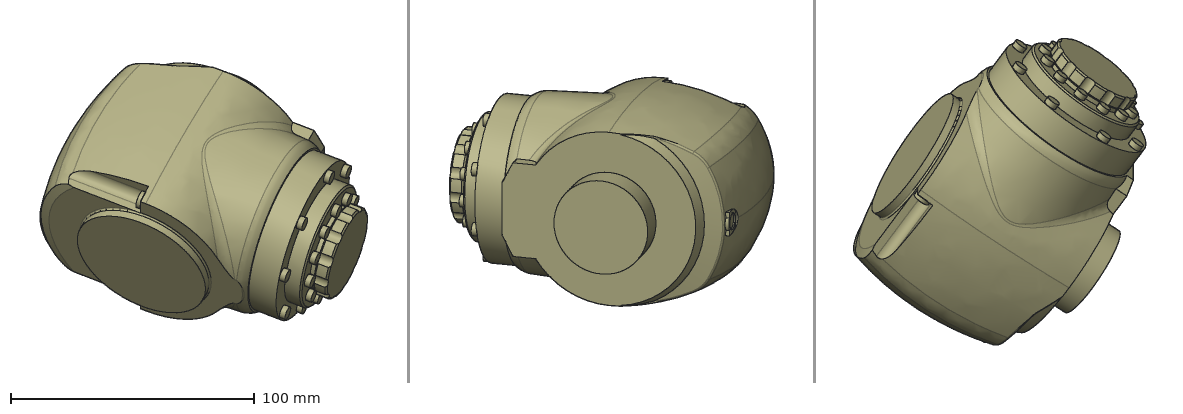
import cadquery as cq
import math

FRONT_Y = -37.0
REAR_Y = 37.5
BELLY_Y = -2.5
BARREL_R = 40.5
BARREL_END_R = 37.5
NOSE_X = 52.4
NOSE_FRONT_SCALE = 0.916
NOSE_REAR_SCALE = 0.867
SHOULDER = (-38.0, 32.0)
CHEEK = (-45.2, 25.5)
FACE_R = 43.9
FACE_DROP = 1.0

NECK_ROOT_R = 39.7
NECK_R = 37.8
NECK_SHOULDER_X = 41.2
NECK_ROUNDING_MIDDLE = (44.0, 37.1)
NECK_END_X = 45.9
NECK_END_R = 35.9
NECK_BLEND_R = 5.0

TONGUE_HALF_H = 20.2
TONGUE_TIP_HALF_H = 11.4
TONGUE_FLOOR_Y = 31.4

RELIEF_BEND_START = (-30.4, 30.9)
RELIEF_BEND = (-17.7, 32.9)
RELIEF_RUNOUT = (-5.0, REAR_Y)
REAR_BOSS_R = 37.2
REAR_BOSS_ROOT_R = 39.5
REAR_BOSS_ROOT_Y = 32.8
RELIEF_SLOPE_R = 47.5
RELIEF_SLOPE_Y = 31.1
RELIEF_RIM_FILLET = 1.0
RIM_LOW_Y = 30.4
RIM_HIGH_Y = 32.6

CAP_R = 29.1
CAP_END_Y = -41.0
CAP_FILLET = 0.8
STUB_R = 20.1
STUB_END_Y = 49.0

CHANNEL_R = 4.3
CHANNEL_Y = -33.5
CHANNEL_Z = 33.8
CHANNEL_END_X = -2.4
CHANNEL_LENGTH = 56.9
CHANNEL_OPENING = 12.6
SCREW_R = 3.7
SCREW_LENGTH = 1.9

PAD_R = 5.0
PAD_Y = 25.3
PAD_END_Y = 29.6
PAD_X = -49.2
PAD_ROOT_X = -44.3
PAD_HOLE_R = 3.5
PAD_HOLE_DEPTH = 0.6

FLANGE_R = 35.0
FLANGE_END_X = 58.3
FLANGE_BOLT_CIRCLE_R = 31.9
FLANGE_BOLT_R = 2.8
FLANGE_BOLT_H = 2.5
FLANGE_BOLT_ANGLE = 24.0

DISC_R = 27.0
DISC_END_X = 65.9
DISC_CHAMFER = 0.8
OUTPUT_BOLT_COUNT = 12
OUTPUT_BOLT_CIRCLE_R = 21.8
OUTPUT_BOLT_ANGLE = 10.0
OUTPUT_BOLT_R = 2.7
OUTPUT_BOLT_H = 2.5
HUB_R = 20.0
HUB_NECK_R = 19.0
HUB_NECK_END_X = 67.9
HUB_END_X = 74.1
HUB_CHAMFER = 0.8
SCALLOP_R = 3.0

BIG = 126.5
MARGIN = 0.1


def plane_at_y(y):
    """XZ workplane at the given y, with its normal toward -Y."""
    return cq.Workplane("XZ").workplane(offset=-y)


def rod_y(radius, y_low, y_high):
    return plane_at_y(y_high).circle(radius).extrude(y_high - y_low)


def rod_x(radius, x_start, x_end, y=0.0, z=0.0):
    return cq.Workplane("YZ", origin=(x_start, 0, 0)).center(y, z).circle(radius).extrude(x_end - x_start)


def box_zone(x_range, y_range, z_range):
    """Selector for edges that lie wholly inside a box."""
    low, high = zip(x_range, y_range, z_range)
    return cq.selectors.BoxSelector(low, high, boundingbox=True)


def ring_points(radius, angles):
    """(y, z) places on a circle about X, angles in degrees from -Y toward +Z."""
    return [(-radius * math.cos(math.radians(a)), radius * math.sin(math.radians(a))) for a in angles]


def arc_to_axis_middle(start, axis_x):
    """Middle point of the arc, centred on the X axis, from start to (axis_x, 0)."""
    rise = start[1]
    run = start[0] - axis_x
    radius = (rise**2 + run**2) / (2 * run)
    half_angle = math.asin(rise / radius) / 2
    return (axis_x + radius * (1 - math.cos(half_angle)), radius * math.sin(half_angle))


def barrel_outline(y, radius, nose_scale):
    """Closed section of the barrel: half circle, shoulder, cheek and nose."""
    height_scale = radius / BARREL_R
    diagonal = radius * math.sqrt(0.5)
    shoulder = (SHOULDER[0] * nose_scale, SHOULDER[1] * height_scale)
    cheek = (CHEEK[0] * nose_scale, CHEEK[1] * height_scale)
    nose_x = -NOSE_X * nose_scale
    half = (
        plane_at_y(y)
        .moveTo(radius, 0)
        .threePointArc((diagonal, diagonal), (0, radius))
        .tangentArcPoint(shoulder, relative=False)
        .tangentArcPoint(cheek, relative=False)
        .threePointArc(arc_to_axis_middle(cheek, nose_x), (nose_x, 0))
    )
    return half.mirrorX().val()


def make_barrel():
    sections = [
        barrel_outline(FRONT_Y, BARREL_END_R, NOSE_FRONT_SCALE),
        barrel_outline(BELLY_Y, BARREL_R, 1.0),
        barrel_outline(REAR_Y, BARREL_END_R, NOSE_REAR_SCALE),
    ]
    return cq.Workplane(cq.Solid.makeLoft(sections))


def make_neck():
    neck = (
        cq.Workplane("XY")
        .lineTo(0, NECK_ROOT_R)
        .lineTo(NECK_SHOULDER_X, NECK_R)
        .threePointArc(NECK_ROUNDING_MIDDLE, (NECK_END_X, NECK_END_R))
        .lineTo(NECK_END_X, 0)
        .close()
        .revolve(360, (0, 0, 0), (1, 0, 0))
    )
    between_faces = plane_at_y(REAR_Y).rect(BIG, BIG).extrude(REAR_Y - FRONT_Y)
    return neck.intersect(between_faces)


def make_shell():
    """Barrel and neck, with the valley between them rounded."""
    barrel = make_barrel()
    shell = barrel.union(make_neck())
    depth = REAR_Y - FRONT_Y
    valley_zone = box_zone((MARGIN, NECK_SHOULDER_X - MARGIN), (-BIG, BIG), (-BIG, BIG))
    valleys = [edge for edge in shell.edges(valley_zone).vals() if edge.BoundingBox().ylen > depth - MARGIN]
    return cq.Workplane(shell.val().fillet(NECK_BLEND_R, valleys))


def make_tongue():
    upper = [(0, TONGUE_HALF_H), (NECK_SHOULDER_X, TONGUE_HALF_H), (NECK_END_X, TONGUE_TIP_HALF_H)]
    lower = [(x, -z) for x, z in reversed(upper)]
    return plane_at_y(REAR_Y).polyline(upper + lower).close().extrude(REAR_Y - TONGUE_FLOOR_Y)


def make_face_fall():
    """Cutter that lets the front face fall away outside its flat middle."""
    fall_end_r = -NOSE_X * NOSE_FRONT_SCALE
    return (
        cq.Workplane("XY")
        .polyline([(-FACE_R, FRONT_Y), (fall_end_r, FRONT_Y + FACE_DROP), (fall_end_r, FRONT_Y)])
        .close()
        .revolve(360, (0, 0, 0), (0, 1, 0))
    )


def make_rear_relief():
    """Cutter for the rear step, leaving a tapered round boss on a sloping floor."""
    slab_section = [(-BIG, RELIEF_BEND_START[1]), RELIEF_BEND_START, RELIEF_BEND, RELIEF_RUNOUT, (-BIG, REAR_Y)]
    slab = cq.Workplane("XY").polyline(slab_section).close().extrude(BIG, both=True)
    slope = (REAR_BOSS_ROOT_Y - RELIEF_SLOPE_Y) / (RELIEF_SLOPE_R - REAR_BOSS_ROOT_R)
    floor_r = RELIEF_SLOPE_R + (RELIEF_SLOPE_Y - FRONT_Y) / slope
    boss_section = [
        (0, FRONT_Y),
        (floor_r, FRONT_Y),
        (REAR_BOSS_ROOT_R, REAR_BOSS_ROOT_Y),
        (REAR_BOSS_R, REAR_Y),
        (0, REAR_Y),
    ]
    boss = cq.Workplane("XY").polyline(boss_section).close().revolve(360, (0, 0, 0), (0, 1, 0))
    return slab.cut(boss)


def make_screw_channel(side):
    """Round-bottomed channel along X, open toward -Y and away from the X axis."""
    start_x = CHANNEL_END_X - CHANNEL_LENGTH
    z = side * CHANNEL_Z
    bottom = rod_x(CHANNEL_R, start_x, CHANNEL_END_X, CHANNEL_Y, z)
    section = [
        (CHANNEL_Y - CHANNEL_OPENING, z - side * CHANNEL_R),
        (CHANNEL_Y, z - side * CHANNEL_R),
        (CHANNEL_Y, z),
        (CHANNEL_Y + CHANNEL_R, z),
        (CHANNEL_Y + CHANNEL_R, z + side * CHANNEL_OPENING),
        (CHANNEL_Y - CHANNEL_OPENING, z + side * CHANNEL_OPENING),
    ]
    mouth = cq.Workplane("YZ", origin=(start_x, 0, 0)).polyline(section).close().extrude(CHANNEL_LENGTH)
    return bottom.union(mouth)


def pad_prism(x_start, x_end):
    """Prism along X with the pad's outline: round toward -Y, straight sides toward +Y."""
    straight = PAD_END_Y - PAD_Y
    block = cq.Workplane("YZ", origin=(x_start, PAD_Y + straight / 2, 0)).rect(straight, 2 * PAD_R)
    return rod_x(PAD_R, x_start, x_end, PAD_Y).union(block.extrude(x_end - x_start))


def make_housing():
    housing = make_shell().union(make_tongue())
    housing = housing.cut(make_face_fall()).cut(make_rear_relief())

    rim_x = (-NOSE_X, RELIEF_BEND[0] - MARGIN)
    rim_zone = box_zone(rim_x, (RIM_LOW_Y, RIM_HIGH_Y), (-BARREL_R, BARREL_R))
    rim = [edge for edge in housing.edges(rim_zone).vals() if edge.geomType() == "BSPLINE"]
    housing = cq.Workplane(housing.val().fillet(RELIEF_RIM_FILLET, rim))

    housing = housing.union(rod_y(CAP_R, CAP_END_Y, 0)).union(rod_y(STUB_R, 0, STUB_END_Y))
    root_r = CAP_R + MARGIN
    cap_root = box_zone((-root_r, root_r), (FRONT_Y - MARGIN, FRONT_Y + MARGIN), (-root_r, root_r))
    housing = housing.edges(cap_root).fillet(CAP_FILLET)

    for side in (1, -1):
        head = rod_x(SCREW_R, CHANNEL_END_X - SCREW_LENGTH, CHANNEL_END_X, CHANNEL_Y, side * CHANNEL_Z)
        housing = housing.cut(make_screw_channel(side)).union(head)

    housing = housing.cut(pad_prism(-BIG, PAD_X)).union(pad_prism(PAD_X, PAD_ROOT_X))
    housing = housing.cut(rod_x(PAD_HOLE_R, PAD_X, PAD_X + PAD_HOLE_DEPTH, PAD_Y))

    housing = housing.union(rod_x(FLANGE_R, NECK_SHOULDER_X, FLANGE_END_X))
    angles = [q * 90 + a for q in range(4) for a in (FLANGE_BOLT_ANGLE, 90 - FLANGE_BOLT_ANGLE)]
    for y, z in ring_points(FLANGE_BOLT_CIRCLE_R, angles):
        housing = housing.union(rod_x(FLANGE_BOLT_R, FLANGE_END_X, FLANGE_END_X + FLANGE_BOLT_H, y, z))
    return housing


def make_output():
    disc = rod_x(DISC_R, FLANGE_END_X, DISC_END_X).faces(">X").chamfer(DISC_CHAMFER)
    hub = rod_x(HUB_R, HUB_NECK_END_X, HUB_END_X).faces(">X or <X").chamfer(HUB_CHAMFER)
    hub = hub.union(rod_x(HUB_NECK_R, DISC_END_X, HUB_END_X))

    step = 360 / OUTPUT_BOLT_COUNT
    places = ring_points(OUTPUT_BOLT_CIRCLE_R, [OUTPUT_BOLT_ANGLE + i * step for i in range(OUTPUT_BOLT_COUNT)])
    for y, z in places:
        hub = hub.cut(rod_x(SCALLOP_R, DISC_END_X, HUB_END_X, y, z))
    output = disc.union(hub)
    for y, z in places:
        output = output.union(rod_x(OUTPUT_BOLT_R, DISC_END_X, DISC_END_X + OUTPUT_BOLT_H, y, z))
    return output


housing = make_housing()
output = make_output()
result = cq.Compound.makeCompound([housing.solids().val(), output.solids().val()])